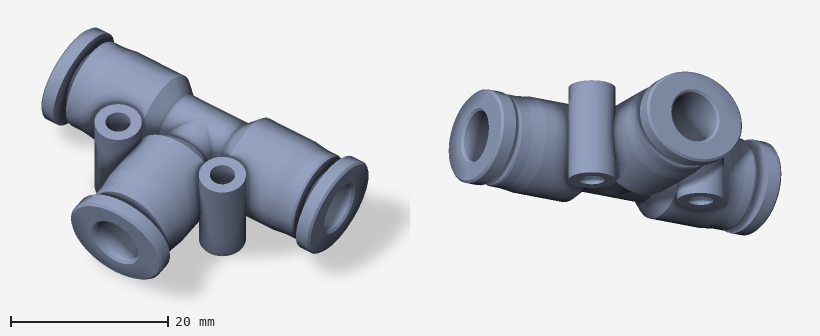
import cadquery as cq

port_reach = 20.55
port_angles = [0, 180, 270]

neck_radius = 8.9 / 2
arm_radius = 12.4 / 2
rim_radius = 11.9 / 2
shoulder_start = neck_radius
shoulder_end = 6.4
taper_start = 13.6
taper_end = 15.58
arm_end = 17.4
rim_chamfer_length = 0.3
rim_chamfer_depth = 0.12

tube_radius = 6.0 / 2
tube_hole_radius = 3.2 / 2
tube_offset = 7.97
tube_height = 2 * arm_radius

sleeve_radius = 7.9 / 2
bore_radius = 6.55 / 2
flange_width = 13.97
flange_height = 2 * rim_radius
flange_thickness = 2.0
edge_chamfer = 0.3
sleeve_inner_end = shoulder_end
flange_start = port_reach - flange_thickness


def turn_to_port(shape, angle):
    """Turn a shape built along +X so that it points along a port."""
    return shape.rotate((0, 0, 0), (0, 0, 1), angle)


def make_arm():
    """One solid arm of the tee outside the neck, revolved about the X axis."""
    return (
        cq.Workplane("XY")
        .moveTo(shoulder_start, 0)
        .lineTo(shoulder_start, neck_radius)
        .lineTo(shoulder_end, arm_radius)
        .lineTo(taper_start, arm_radius)
        .lineTo(taper_end, rim_radius)
        .lineTo(arm_end - rim_chamfer_length, rim_radius)
        .lineTo(arm_end, rim_radius - rim_chamfer_depth)
        .lineTo(arm_end, 0)
        .close()
        .revolve(360, (0, 0, 0), (1, 0, 0))
    )


def make_necks():
    """Straight neck along X with the branch neck meeting it from -Y."""
    run = cq.Workplane("YZ").circle(neck_radius).extrude(shoulder_start, both=True)
    branch = cq.Workplane("XZ").circle(neck_radius).extrude(shoulder_start)
    return run.union(branch)


def make_tubes(radius):
    """Upright cylinders at both mounting tube positions."""
    return (
        cq.Workplane("XY")
        .workplane(offset=-tube_height / 2)
        .pushPoints([(-tube_offset, -tube_offset), (tube_offset, -tube_offset)])
        .circle(radius)
        .extrude(tube_height)
    )


def make_socket():
    """Blind hole in an arm that holds one sleeve."""
    return (
        cq.Workplane("YZ")
        .workplane(offset=sleeve_inner_end)
        .circle(sleeve_radius)
        .extrude(arm_end - sleeve_inner_end)
    )


def make_housing():
    """Tee with two mounting tubes and a socket in each arm."""
    body = make_necks().union(make_tubes(tube_radius))
    for angle in port_angles:
        body = body.union(turn_to_port(make_arm(), angle))
    body = body.cut(make_tubes(tube_hole_radius))
    for angle in port_angles:
        body = body.cut(turn_to_port(make_socket(), angle))
    return body.solids()


def make_sleeve():
    """Release sleeve along +X: round tube with an oval flange and a through bore."""
    tube = (
        cq.Workplane("YZ")
        .workplane(offset=sleeve_inner_end)
        .circle(sleeve_radius)
        .extrude(port_reach - sleeve_inner_end)
    )
    flange = (
        cq.Workplane("YZ")
        .workplane(offset=flange_start)
        .ellipse(flange_width / 2, flange_height / 2)
        .extrude(flange_thickness)
        .faces(">X")
        .chamfer(edge_chamfer)
    )
    bore = (
        cq.Workplane("YZ")
        .workplane(offset=sleeve_inner_end)
        .circle(bore_radius)
        .extrude(port_reach - sleeve_inner_end)
    )
    mouth = cq.Workplane(
        cq.Solid.makeCone(
            bore_radius,
            bore_radius + edge_chamfer,
            edge_chamfer,
            cq.Vector(port_reach - edge_chamfer, 0, 0),
            cq.Vector(1, 0, 0),
        )
    )
    return tube.union(flange).cut(bore).cut(mouth).solids()


housing = make_housing()
sleeves = [turn_to_port(make_sleeve(), angle) for angle in port_angles]

result = cq.Compound.makeCompound([housing.val(), *[sleeve.val() for sleeve in sleeves]])